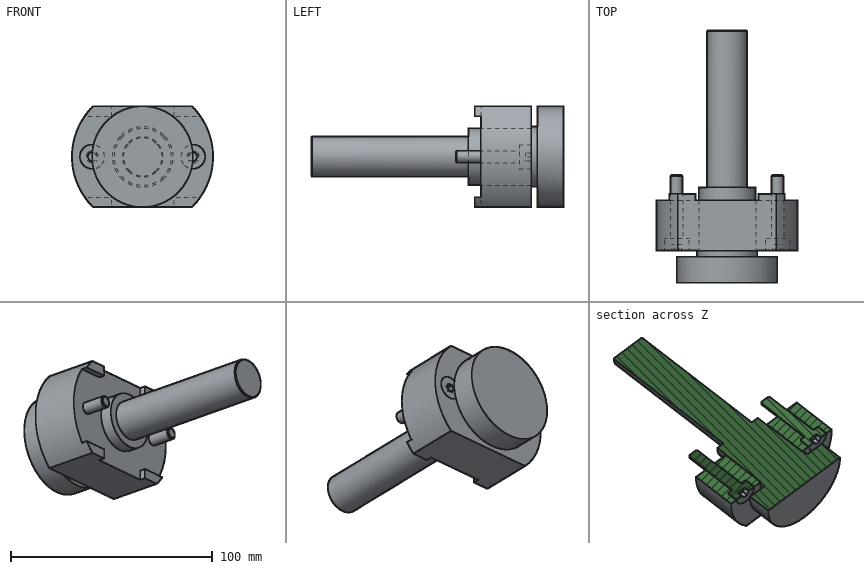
import cadquery as cq
import math

housing_diameter = 70.0
housing_height = 50.0
housing_front = 16.0
housing_length = 25.0
housing_rear = housing_front + housing_length
tab_length = 3.1
tab_height = 5.0
tab_spacing = 31.0

total_length = 125.0
head_diameter = housing_height
head_length = 13.0
neck_diameter = 30.0
journal_diameter = 28.2
journal_projection = 6.2
journal_rear = housing_rear + journal_projection
shaft_diameter = 20.0
shaft_chamfer = 0.5

screw_offset = 25.0
screw_diameter = 6.0
screw_head_diameter = 12.0
screw_head_length = 6.0
screw_rear = 53.5
screw_chamfer = 0.6
socket_across_flats = 4.0
socket_sides = 6
socket_across_corners = socket_across_flats / math.cos(math.pi / socket_sides)
socket_depth = 3.0


def section(y):
    """Workplane facing +Y at the given position along the shaft axis."""
    return cq.Workplane("XZ", origin=(0, y, 0)).transformed(rotate=(180, 0, 0))


def cylinder(diameter, start, end, x=0.0):
    """Cylinder along +Y from start to end, with its axis at the given X."""
    return section(start).center(x, 0).circle(diameter / 2).extrude(end - start)


def screw_envelope(x):
    """Cylindrical head and shank, before the tip chamfer and socket."""
    head_rear = housing_front + screw_head_length
    head = cylinder(screw_head_diameter, housing_front, head_rear, x)
    return head.union(cylinder(screw_diameter, head_rear, screw_rear, x))


def make_housing():
    full_length = housing_length + tab_length
    body = cylinder(housing_diameter, housing_front, housing_rear + tab_length)
    flats = section(housing_front).rect(housing_diameter, housing_height).extrude(full_length)
    body = body.intersect(flats)

    slot_height = housing_height - 2 * tab_height
    for width, height in ((housing_diameter, slot_height), (tab_spacing, housing_height)):
        body = body.cut(section(housing_rear).rect(width, height).extrude(tab_length))

    body = body.cut(cylinder(journal_diameter, housing_front, housing_rear))
    for side in (-1, 1):
        body = body.cut(screw_envelope(side * screw_offset))
    return body


def make_shaft():
    head = cylinder(head_diameter, 0, head_length)
    neck = cylinder(neck_diameter, head_length, housing_front)
    journal = cylinder(journal_diameter, housing_front, journal_rear)
    rod = cylinder(shaft_diameter, journal_rear, total_length)
    rod = rod.faces(">Y").edges().chamfer(shaft_chamfer)
    return head.union(neck).union(journal).union(rod)


def make_screw(x):
    body = screw_envelope(x).faces(">Y").edges().chamfer(screw_chamfer)
    socket = (
        section(housing_front)
        .center(x, 0)
        .polygon(socket_sides, socket_across_corners)
        .extrude(socket_depth)
    )
    return body.cut(socket)


housing = make_housing()
shaft = make_shaft()
screws = [make_screw(side * screw_offset) for side in (-1, 1)]

result = cq.Compound.makeCompound(
    [housing.val(), shaft.val(), *[screw.val() for screw in screws]]
)